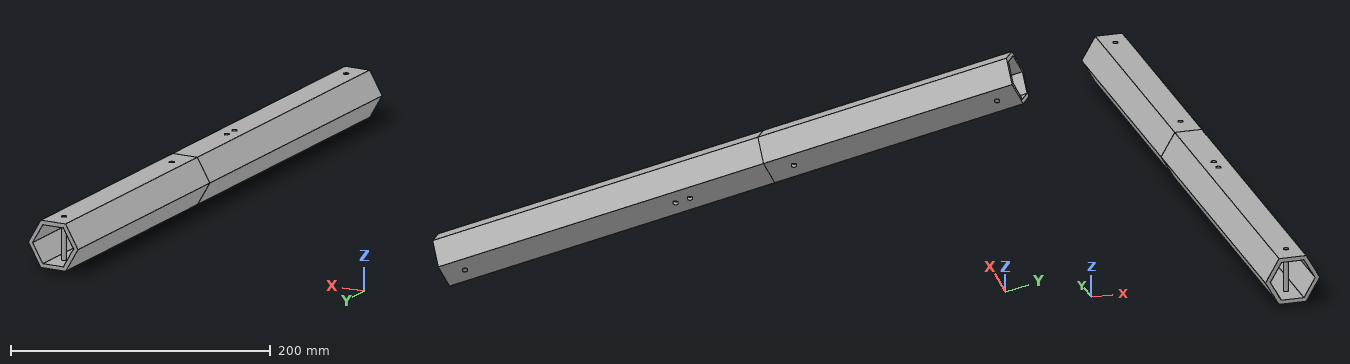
import cadquery as cq
import math

BORE_ACROSS_FLATS = 31.5
WALL = 3.4
ACROSS_FLATS = BORE_ACROSS_FLATS + 2 * WALL
FLATS_TO_CORNERS = 1 / math.cos(math.pi / 6)
ACROSS_CORNERS = ACROSS_FLATS * FLATS_TO_CORNERS
BORE_ACROSS_CORNERS = BORE_ACROSS_FLATS * FLATS_TO_CORNERS

TOTAL_LENGTH = 481.0
FRONT_LENGTH = 272.5
REAR_LENGTH = TOTAL_LENGTH - FRONT_LENGTH

HOLE_DIAMETER = 4.0
PIN_DIAMETER = 4.0
PIN_LENGTH = 38.5
FRONT_PIN_Y = 18.0
REAR_PIN_Y = 463.5
FRONT_HOLE_YS = [194.5, 206.5]
REAR_HOLE_YS = [293.5]


def hexagonal_bar(start_y, length, across_corners):
    """Solid hexagonal bar running along +Y from start_y."""
    section = cq.Workplane("XZ", origin=(0, start_y, 0)).polygon(6, across_corners)
    return section.extrude(-length)


def vertical_cylinder(y, diameter, height):
    """Cylinder along Z, centred on the tube axis."""
    base = cq.Workplane("XY", origin=(0, y, -height / 2))
    return base.circle(diameter / 2).extrude(height)


def tube(start_y, length, hole_ys, pin_y):
    """Hollow hexagonal tube with through holes and one integral cross pin."""
    outer = hexagonal_bar(start_y, length, ACROSS_CORNERS)
    bore = hexagonal_bar(start_y, length, BORE_ACROSS_CORNERS)
    body = outer.cut(bore)
    for hole_y in hole_ys:
        body = body.cut(vertical_cylinder(hole_y, HOLE_DIAMETER, ACROSS_FLATS))
    return body.union(vertical_cylinder(pin_y, PIN_DIAMETER, PIN_LENGTH))


front_tube = tube(0, FRONT_LENGTH, FRONT_HOLE_YS, FRONT_PIN_Y)
rear_tube = tube(FRONT_LENGTH, REAR_LENGTH, REAR_HOLE_YS, REAR_PIN_Y)

result = cq.Compound.makeCompound([front_tube.val(), rear_tube.val()])